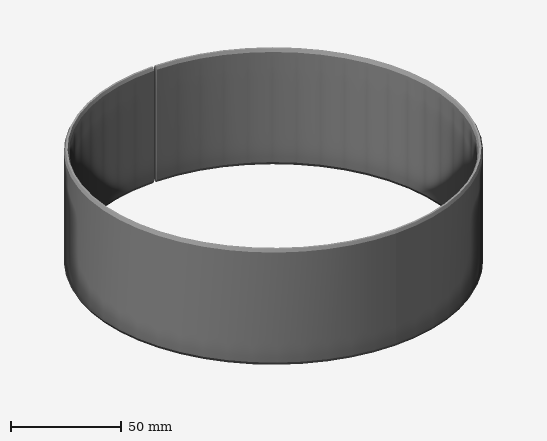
import cadquery as cq

outer_diameter = 190.0
wall_thickness = 2.5
ring_height = 60.0

chamfer_depth = 0.8
chamfer_height = 1.5

slit_width = 1.5

hole_diameter = 10.0
hole_height = ring_height / 2
hole_angle = 59.1

outer_radius = outer_diameter / 2
inner_radius = outer_radius - wall_thickness


def make_ring():
    """Revolve the wall section, chamfered at all four corners, about Z."""
    section = (
        cq.Workplane("XZ")
        .moveTo(inner_radius, chamfer_height)
        .lineTo(inner_radius + chamfer_depth, 0)
        .lineTo(outer_radius - chamfer_depth, 0)
        .lineTo(outer_radius, chamfer_height)
        .lineTo(outer_radius, ring_height - chamfer_height)
        .lineTo(outer_radius - chamfer_depth, ring_height)
        .lineTo(inner_radius + chamfer_depth, ring_height)
        .lineTo(inner_radius, ring_height - chamfer_height)
        .close()
    )
    return section.revolve(360, (0, 0, 0), (0, 1, 0))


def make_slit():
    """Full-height cutter through the wall on the -X side only."""
    cutter = cq.Workplane("XY").box(outer_radius, slit_width, ring_height, centered=False)
    return cutter.translate((-outer_radius, 0, 0))


def make_hole():
    """Radial drill running from the ring axis out through the wall."""
    drill = cq.Workplane("YZ").center(0, hole_height).circle(hole_diameter / 2).extrude(outer_radius)
    return drill.rotate((0, 0, 0), (0, 0, 1), hole_angle)


result = make_ring().cut(make_slit()).cut(make_hole())